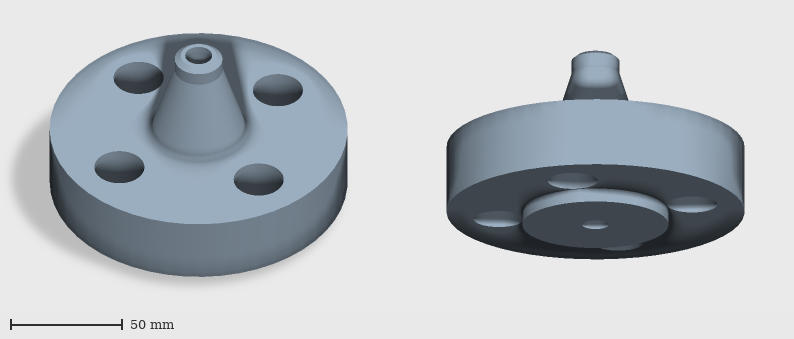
import cadquery as cq
import math

flange_diameter = 133.3
flange_thickness = 30.7

face_diameter = 65.3
face_height = 6.1

hub_base_diameter = 43.0
pipe_diameter = 21.3
neck_height = 42.7
pipe_end_length = 8.0
rim_diameter = 16.0
bevel_height = 2.0
hub_fillet_radius = 3.0

bore_diameter = 12.0
bolt_hole_diameter = 22.4
bolt_circle_diameter = 88.9
bolt_count = 4

face_z = -face_height
neck_top_z = flange_thickness + neck_height
cone_top_z = neck_top_z - pipe_end_length
bevel_z = neck_top_z - bevel_height
total_height = face_height + flange_thickness + neck_height


def hub_fillet_points():
    """Start, middle and end (radius, z) of the arc joining the flange top to the cone."""
    base_radius = hub_base_diameter / 2
    run = base_radius - pipe_diameter / 2
    rise = cone_top_z - flange_thickness
    slope = math.atan2(rise, run)
    tangent_length = hub_fillet_radius * math.tan(slope / 2)
    start_radius = base_radius + tangent_length
    centre_z = flange_thickness + hub_fillet_radius

    def on_arc(turn):
        return (
            start_radius - hub_fillet_radius * math.sin(turn),
            centre_z - hub_fillet_radius * math.cos(turn),
        )

    return on_arc(0), on_arc(slope / 2), on_arc(slope)


def revolved_body():
    """Flange, raised face and neck as one turned profile."""
    fillet_start, fillet_middle, fillet_end = hub_fillet_points()
    return (
        cq.Workplane("XZ")
        .moveTo(0, face_z)
        .lineTo(face_diameter / 2, face_z)
        .lineTo(face_diameter / 2, 0)
        .lineTo(flange_diameter / 2, 0)
        .lineTo(flange_diameter / 2, flange_thickness)
        .lineTo(*fillet_start)
        .threePointArc(fillet_middle, fillet_end)
        .lineTo(pipe_diameter / 2, cone_top_z)
        .lineTo(pipe_diameter / 2, bevel_z)
        .lineTo(rim_diameter / 2, neck_top_z)
        .lineTo(0, neck_top_z)
        .close()
        .revolve(360, (0, 0), (0, 1))
    )


def central_bore():
    return cq.Workplane("XY", origin=(0, 0, face_z)).circle(bore_diameter / 2).extrude(total_height)


def bolt_holes():
    """Through holes on the bolt circle, the first one on the +X axis."""
    return (
        cq.Workplane("XY")
        .polarArray(bolt_circle_diameter / 2, 0, 360, bolt_count)
        .circle(bolt_hole_diameter / 2)
        .extrude(flange_thickness)
    )


result = revolved_body().cut(central_bore()).cut(bolt_holes())